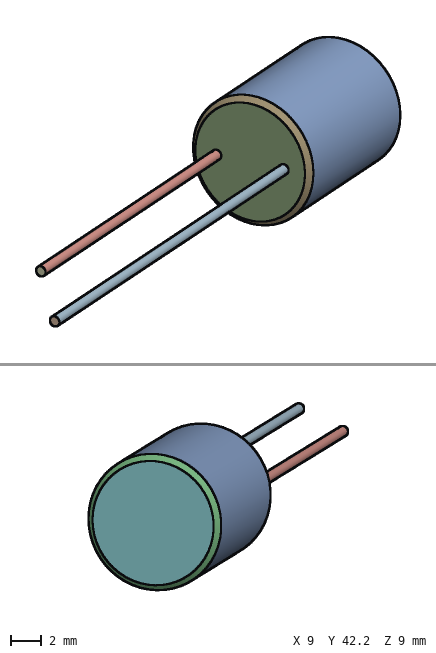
import cadquery as cq

total_length = 42.2
can_diameter = 9.0
can_length = 12.2
can_chamfer = 0.4

lead_diameter = 0.7
lead_spacing = 5.02
long_lead_length = total_length - can_length
lead_length_difference = 7.0
short_lead_length = long_lead_length - lead_length_difference

can_back_y = total_length / 2
can_front_y = can_back_y - can_length


def rod_along_minus_y(diameter, length, x, start_y):
    """Solid cylinder that starts at start_y and runs toward -Y."""
    return (
        cq.Workplane("XZ", origin=(x, start_y, 0))
        .circle(diameter / 2)
        .extrude(length)
    )


def make_can():
    """Cylindrical can with both rims chamfered."""
    can = rod_along_minus_y(can_diameter, can_length, 0, can_back_y)
    return can.faces("<Y or >Y").chamfer(can_chamfer)


def make_lead(x, length):
    """Straight round wire lead that butts against the can's end face."""
    return rod_along_minus_y(lead_diameter, length, x, can_front_y)


can = make_can()

lead_placements = [
    (-lead_spacing / 2, short_lead_length),
    (lead_spacing / 2, long_lead_length),
]
leads = [make_lead(x, length) for x, length in lead_placements]

result = cq.Compound.makeCompound([can.val(), *[lead.val() for lead in leads]])